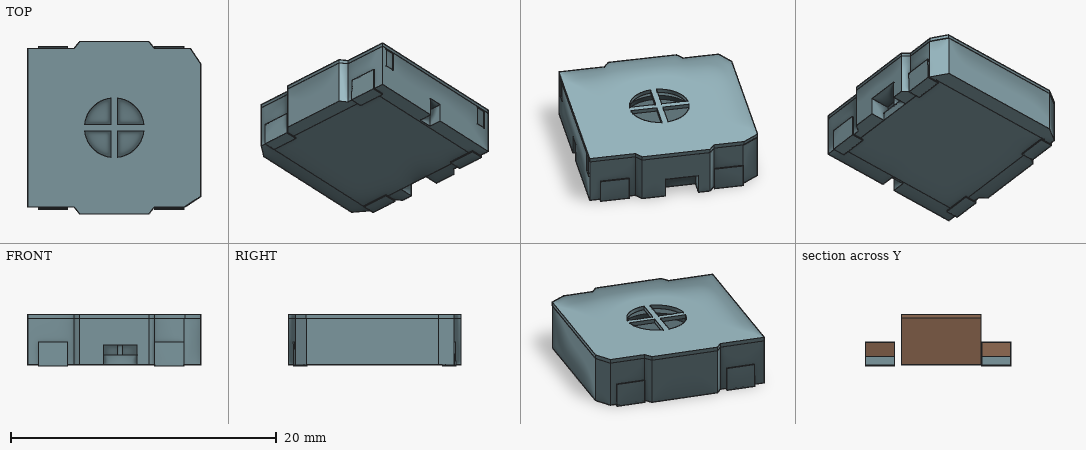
import cadquery as cq

LENGTH = 13.05
BODY_WIDTH = 11.94
BUMP_WIDTH = 13.0
HEIGHT = 3.8
LID_THICKNESS = 0.3
LID_BOTTOM = HEIGHT - LID_THICKNESS

BUMP_ROOT_HALF = 3.03
BUMP_TIP_HALF = 2.61

REAR_CORNER_CUT = (0.78, 1.16)
LID_FRONT_CORNER_CUT = (1.19, 0.78)
HOUSING_FRONT_CORNER_CUT = (1.27, 0.85)

SOUND_HOLE_RADIUS = 2.25
SPOKE_WIDTH = 0.46

BASE_WIDTH = 10.65
BASE_THICKNESS = 0.72

RING_RADIUS = 5.0
RING_BORE_RADIUS = 2.7
RING_TOP = HEIGHT - 0.89
CORE_TOP = HEIGHT - 1.23

NOTCH_HEIGHT = 1.5
FRONT_NOTCH_WIDTH = 2.52
FRONT_NOTCH_X = 0.46
FRONT_NOTCH_END_Y = -3.92
SIDE_NOTCH_WIDTH = 1.08
SIDE_NOTCH_DEPTH = 1.05

RECESS_WIDTH = 0.8
RECESS_Y = 5.15
RECESS_BOTTOM = 1.92
RECESS_DEPTH = 0.1

PIN_RADIUS = 0.2
PIN_X = 0.45
PIN_Y = PIN_RADIUS - BASE_WIDTH / 2

TERMINAL_WIDTH = 2.2
TERMINAL_THICKNESS = 0.1
TERMINAL_TOP = 1.7
TERMINAL_LEAN = 0.033
TERMINAL_OUTER_Y = BODY_WIDTH / 2 + TERMINAL_THICKNESS + TERMINAL_LEAN
FOOT_LENGTH = 1.02
TERMINAL_CENTRES_X = (-4.62, 4.14)


def body_outline(front_corner_cut):
    """Plan outline shared by the lid and the housing, which differ in one corner cut."""
    end_x = LENGTH / 2
    side_y = BODY_WIDTH / 2
    bump_y = BUMP_WIDTH / 2
    front_cut_x, front_cut_y = front_corner_cut
    rear_cut_x, rear_cut_y = REAR_CORNER_CUT
    return cq.Workplane("XY").polyline([
        (-end_x, -side_y),
        (-BUMP_ROOT_HALF, -side_y),
        (-BUMP_TIP_HALF, -bump_y),
        (BUMP_TIP_HALF, -bump_y),
        (BUMP_ROOT_HALF, -side_y),
        (end_x - front_cut_x, -side_y),
        (end_x, -side_y + front_cut_y),
        (end_x, side_y - rear_cut_y),
        (end_x - rear_cut_x, side_y),
        (BUMP_ROOT_HALF, side_y),
        (BUMP_TIP_HALF, bump_y),
        (-BUMP_TIP_HALF, bump_y),
        (-BUMP_ROOT_HALF, side_y),
        (-end_x, side_y),
    ]).close()


def box_between(x_range, y_range, z_range):
    """Box spanning the given (low, high) ranges."""
    low, high = zip(x_range, y_range, z_range)
    sizes = [b - a for a, b in zip(low, high)]
    return cq.Workplane("XY").box(*sizes, centered=False).translate(low)


def disc(radius, bottom, top):
    """Upright cylinder on the Z axis."""
    return cq.Workplane("XY").workplane(offset=bottom).circle(radius).extrude(top - bottom)


def make_lid():
    """Flat lid with a round sound opening crossed by two spokes."""
    plate = body_outline(LID_FRONT_CORNER_CUT).extrude(LID_THICKNESS)
    opening = cq.Workplane("XY").circle(SOUND_HOLE_RADIUS).extrude(LID_THICKNESS)
    spoke_length = 2 * SOUND_HOLE_RADIUS
    for size_x, size_y in ((spoke_length, SPOKE_WIDTH), (SPOKE_WIDTH, spoke_length)):
        opening = opening.cut(cq.Workplane("XY").rect(size_x, size_y).extrude(LID_THICKNESS))
    return plate.cut(opening).translate((0, 0, LID_BOTTOM))


def make_base():
    """Square base plate, level with the underside of the housing."""
    return cq.Workplane("XY").rect(BASE_WIDTH, BASE_WIDTH).extrude(BASE_THICKNESS)


def make_pin():
    """Round pin that stands on the base and reaches the roof of the front notch."""
    foot = cq.Workplane("XY").workplane(offset=BASE_THICKNESS).center(PIN_X, PIN_Y)
    return foot.circle(PIN_RADIUS).extrude(NOTCH_HEIGHT - BASE_THICKNESS)


def make_core():
    """Solid core that fills the lower part of the ring's bore."""
    return disc(RING_BORE_RADIUS, BASE_THICKNESS, CORE_TOP)


def make_ring():
    """Magnet ring on the base, grooved where the pin stands against it."""
    ring = disc(RING_RADIUS, BASE_THICKNESS, RING_TOP)
    bore = disc(RING_BORE_RADIUS, BASE_THICKNESS, RING_TOP)
    return ring.cut(bore).cut(make_pin())


def make_housing():
    """Housing with a seat for the base, a round cavity, two notches and two recesses."""
    housing = body_outline(HOUSING_FRONT_CORNER_CUT).extrude(LID_BOTTOM)
    housing = housing.cut(make_base())
    housing = housing.cut(disc(RING_RADIUS, BASE_THICKNESS, LID_BOTTOM))

    front_notch = box_between(
        (FRONT_NOTCH_X - FRONT_NOTCH_WIDTH / 2, FRONT_NOTCH_X + FRONT_NOTCH_WIDTH / 2),
        (-BUMP_WIDTH / 2, FRONT_NOTCH_END_Y),
        (0, NOTCH_HEIGHT),
    )
    side_notch = box_between(
        (-LENGTH / 2, -LENGTH / 2 + SIDE_NOTCH_DEPTH),
        (-SIDE_NOTCH_WIDTH / 2, SIDE_NOTCH_WIDTH / 2),
        (0, NOTCH_HEIGHT),
    )
    housing = housing.cut(front_notch).cut(side_notch)

    for centre_y in (-RECESS_Y, RECESS_Y):
        recess = box_between(
            (-LENGTH / 2, -LENGTH / 2 + RECESS_DEPTH),
            (centre_y - RECESS_WIDTH / 2, centre_y + RECESS_WIDTH / 2),
            (RECESS_BOTTOM, LID_BOTTOM),
        )
        housing = housing.cut(recess)
    return housing


def make_terminal(centre_x, side):
    """L-shaped strip up the housing wall; side is -1 for the -Y wall and 1 for the +Y wall."""
    outer_y = side * TERMINAL_OUTER_Y
    inner_y = outer_y - side * TERMINAL_THICKNESS
    foot_end_y = outer_y - side * FOOT_LENGTH
    profile = cq.Workplane("YZ").polyline([
        (foot_end_y, -TERMINAL_THICKNESS),
        (outer_y, -TERMINAL_THICKNESS),
        (outer_y - TERMINAL_LEAN, TERMINAL_TOP),
        (inner_y - TERMINAL_LEAN, TERMINAL_TOP),
        (inner_y, 0),
        (foot_end_y, 0),
    ]).close()
    return profile.extrude(TERMINAL_WIDTH / 2, both=True).translate((centre_x, 0, 0))


lid = make_lid()
housing = make_housing()
base = make_base()
ring = make_ring()
core = make_core()
pin = make_pin()
terminals = [make_terminal(x, side) for x in TERMINAL_CENTRES_X for side in (-1, 1)]

result = cq.Compound.makeCompound([
    lid.val(),
    housing.val(),
    base.val(),
    ring.val(),
    core.val(),
    pin.val(),
    *[terminal.val() for terminal in terminals],
])